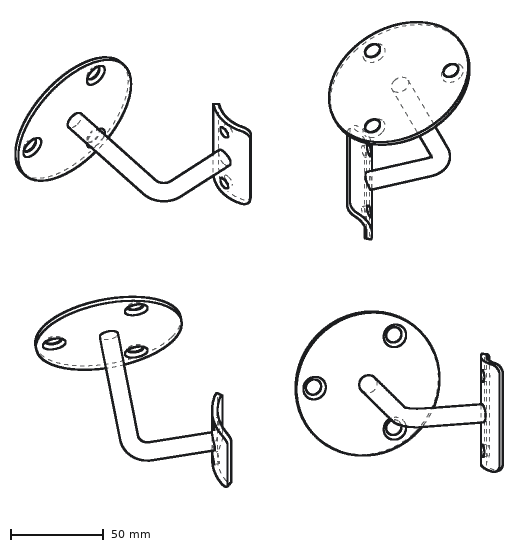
import cadquery as cq
import math

disc_diameter = 80.0
disc_thickness = 2.5
disc_hole_diameter = 8.5
disc_hole_circle_radius = 29.95
disc_hole_count = 3
countersink_depth = 2.0
countersink_angle = 90

rod_diameter = 10.0
bend_radius = 10.0
rod_reach = 75.0

overall_depth = 91.9
saddle_outer_radius = 24.5
saddle_thickness = 3.0
saddle_half_width = 15.4
saddle_height = 60.0
saddle_corner_radius = 5.0
saddle_hole_diameter = 6.5
saddle_hole_spacing = 42.0

saddle_inner_radius = saddle_outer_radius - saddle_thickness
saddle_half_angle = math.asin(saddle_half_width / saddle_outer_radius)
saddle_tip_y = overall_depth - disc_diameter / 2
saddle_axis_y = saddle_tip_y + saddle_inner_radius * math.cos(saddle_half_angle)


def make_disc():
    """Round plate with evenly spaced holes, the first at -Y, countersunk on the +X face."""
    countersink_diameter = disc_hole_diameter + 2 * countersink_depth * math.tan(
        math.radians(countersink_angle / 2)
    )
    plate = cq.Workplane("YZ").circle(disc_diameter / 2).extrude(disc_thickness)
    return (
        plate.faces(">X")
        .workplane()
        .polarArray(disc_hole_circle_radius, 180, 360, disc_hole_count)
        .cskHole(disc_hole_diameter, countersink_diameter, countersink_angle)
    )


def make_rod():
    """Rod leaving the disc along X, then turning to +Y and ending inside the saddle wall."""
    rod_end_y = saddle_axis_y - saddle_outer_radius + saddle_thickness / 2
    path = (
        cq.Workplane("XY")
        .moveTo(disc_thickness, 0)
        .lineTo(rod_reach - bend_radius, 0)
        .tangentArcPoint((rod_reach, bend_radius), relative=False)
        .lineTo(rod_reach, rod_end_y)
    )
    section = cq.Workplane("YZ", origin=(disc_thickness, 0, 0)).circle(rod_diameter / 2)
    return section.sweep(path)


def saddle_point(radius, angle):
    """Point at a given angle from the lowest line of the saddle."""
    return (
        rod_reach + radius * math.sin(angle),
        saddle_axis_y - radius * math.cos(angle),
    )


def make_saddle():
    """Tube segment with radial ends, rounded corners and two screw holes."""
    segment = (
        cq.Workplane("XY", origin=(0, 0, -saddle_height / 2))
        .moveTo(*saddle_point(saddle_outer_radius, -saddle_half_angle))
        .threePointArc(
            saddle_point(saddle_outer_radius, 0),
            saddle_point(saddle_outer_radius, saddle_half_angle),
        )
        .lineTo(*saddle_point(saddle_inner_radius, saddle_half_angle))
        .threePointArc(
            saddle_point(saddle_inner_radius, 0),
            saddle_point(saddle_inner_radius, -saddle_half_angle),
        )
        .close()
        .extrude(saddle_height)
        .faces("<Z or >Z")
        .edges("%LINE")
        .fillet(saddle_corner_radius)
    )
    front = cq.Workplane("XZ", origin=(rod_reach, saddle_axis_y, 0))
    holes = (
        front.pushPoints([(0, side * saddle_hole_spacing / 2) for side in (-1, 1)])
        .circle(saddle_hole_diameter / 2)
        .extrude(saddle_outer_radius)
    )
    return segment.cut(holes)


result = make_disc().union(make_rod()).union(make_saddle())